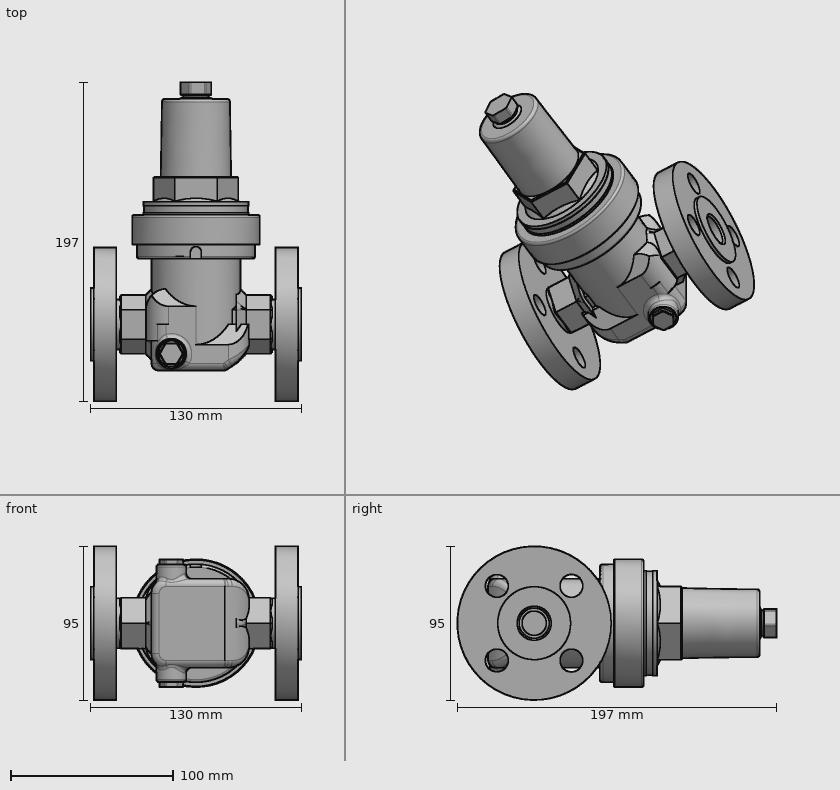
import cadquery as cq
import math


COS_30 = math.cos(math.radians(30))

overall_length = 130.0
flange_diameter = 95.0
flange_thickness = 14.0
raised_face_diameter = 45.0
raised_face_height = 2.0
bolt_circle_diameter = 65.0
bolt_hole_diameter = 14.0
bolt_hole_count = 4

neck_diameter = 31.0
pipe_hex_flats = 31.5
pipe_hex_outer_x = 47.0
pipe_hex_chamfer = 1.0
flare_end_x = 31.0
flare_growth = 6.0
thread_diameter = 18.64
thread_depth = 15.0
thread_countersink = 1.2
bore_diameter = 15.0
bore_depth = 40.0

tube_diameter = 55.0
lower_ring_diameter = 73.0
lower_ring_y = 40.4
lower_ring_rounding = 1.8
upper_ring_diameter = 79.0
upper_ring_y = 49.1
upper_ring_top_y = 67.6
upper_ring_rounding = 1.5
upper_ring_chamfer = 0.5
collar_diameter = 65.0
collar_top_y = 75.8
collar_groove_diameter = 64.4
collar_groove_y = 69.0
collar_groove_top_y = 73.2
nut_flats = 45.4
nut_top_y = 91.2
nut_chamfer = 0.8
nut_cone_height = 2.2
nut_cone_top_diameter = nut_flats - 0.4
nut_cone_base_diameter = 53.0
bell_base_diameter = 43.6
bell_top_diameter = 42.0
bell_top_y = 139.2
bell_rounding = 2.0

screw_top_y = overall_length + 19.51
screw_flats = 17.0
screw_head_height = 8.2
screw_corner_radius = 1.2
screw_rotation = -6.0
screw_bottom_chamfer = 0.6
screw_neck_diameter = 15.7
screw_washer_diameter = 20.4
screw_washer_height = 1.0

notch_width = 6.8
notch_top_y = 48.0
notch_floor_z = 34.6

body_half_depth = tube_diameter / 2
body_bottom_y = -28.5
body_rounding = 4.7
block_top_y = 0.0
block_corner_radius = 9.0
lump_taper_rise = 20.0
lump_taper_depth = 14.0
outlet_lump_side_x = 32.8
outlet_lump_corner_radius = 13.0
outlet_lump_flat_top_y = -12.4
outlet_lump_bend_start = (17.9, body_bottom_y)
outlet_lump_bend_middle = (25.3, -23.3)
outlet_lump_bend_end = (outlet_lump_side_x, -13.5)
inlet_lump_side_x = 30.7
inlet_lump_corner_radius = 13.5
inlet_lump_flat_top_y = 11.3
inlet_lump_bottom_y = -10.0
inlet_lump_crest_start = (-13.0, 21.0)
inlet_lump_crest_middle = (-24.0, 20.5)
inlet_lump_crest_end = (-inlet_lump_side_x, 10.0)

boss_x = -15.2
boss_y = -18.0
boss_diameter = 18.5
boss_top_z = 36.0
boss_rounding = 1.3
boss_foot_fillet = 3.2
plug_washer_diameter = 16.5
plug_washer_height = 0.5
plug_flats = 13.0
plug_top_z = upper_ring_diameter / 2
plug_corner_radius = 0.9
plug_top_chamfer = 0.4


def disc(diameter, y_low, y_high):
    """Cylinder about the Y axis."""
    return cq.Workplane("XZ", origin=(0, y_low, 0)).circle(diameter / 2).extrude(y_low - y_high)


def cone(low_diameter, high_diameter, y_low, y_high):
    """Truncated cone about the Y axis."""
    outline = [(0, y_low), (low_diameter / 2, y_low), (high_diameter / 2, y_high), (0, y_high)]
    return cq.Workplane("XY").polyline(outline).close().revolve(360, (0, 0, 0), (0, 1, 0))


def hexagon(plane, flats):
    """Hexagon outline with two corners on the plane's local X axis."""
    return plane.polygon(6, flats / COS_30)


def make_housing():
    tube = disc(tube_diameter, outlet_lump_flat_top_y, upper_ring_y)
    lower_ring = disc(lower_ring_diameter, lower_ring_y, upper_ring_y)
    lower_ring = lower_ring.faces("<Y").edges().fillet(lower_ring_rounding)
    upper_ring = disc(upper_ring_diameter, upper_ring_y, upper_ring_top_y)
    upper_ring = upper_ring.faces(">Y").edges().fillet(upper_ring_rounding)
    upper_ring = upper_ring.faces("<Y").edges().chamfer(upper_ring_chamfer)
    collar = (
        disc(collar_diameter, upper_ring_top_y, collar_groove_y)
        .union(disc(collar_groove_diameter, collar_groove_y, collar_groove_top_y))
        .union(disc(collar_diameter, collar_groove_top_y, collar_top_y))
    )
    bell = cone(bell_base_diameter, bell_top_diameter, nut_top_y, bell_top_y)
    bell = bell.faces(">Y").edges().fillet(bell_rounding)
    housing = tube.union(lower_ring.cut(make_notch())).union(upper_ring).union(collar)
    return housing.union(make_nut()).union(bell).union(make_screw())


def make_notch():
    notch_radius = notch_width / 2
    arch_y = notch_top_y - notch_radius
    return (
        cq.Workplane("XY", origin=(0, 0, notch_floor_z))
        .moveTo(-notch_radius, lower_ring_y)
        .lineTo(-notch_radius, arch_y)
        .threePointArc((0, notch_top_y), (notch_radius, arch_y))
        .lineTo(notch_radius, lower_ring_y)
        .close()
        .extrude(lower_ring_diameter / 2 - notch_floor_z)
    )


def make_nut():
    plane = cq.Workplane("XZ", origin=(0, collar_top_y, 0))
    nut = hexagon(plane, nut_flats).extrude(collar_top_y - nut_top_y)
    nut = nut.faces(">Y").edges().chamfer(nut_chamfer)
    foot = cone(nut_cone_base_diameter, nut_cone_top_diameter, collar_top_y, collar_top_y + nut_cone_height)
    return nut.union(foot)


def make_screw():
    head_y = screw_top_y - screw_head_height
    plane = cq.Workplane("XZ", origin=(0, head_y, 0))
    head = hexagon(plane, screw_flats).extrude(-screw_head_height)
    head = head.edges("|Y").fillet(screw_corner_radius)
    head = head.faces("<Y").edges().chamfer(screw_bottom_chamfer)
    head = head.rotate((0, 0, 0), (0, 1, 0), -screw_rotation)
    washer = cone(
        screw_washer_diameter, screw_neck_diameter, bell_top_y, bell_top_y + screw_washer_height
    )
    return head.union(disc(screw_neck_diameter, bell_top_y, head_y)).union(washer)


def make_inlet_block():
    """Square-shouldered block below the pipe axis, on the inlet side."""
    length = body_half_depth
    block = cq.Workplane("XY").box(
        length, block_top_y - body_bottom_y, 2 * body_half_depth, centered=(False, False, True)
    )
    block = block.translate((-length, body_bottom_y, 0))
    block = block.edges("|Y and <X").fillet(block_corner_radius)
    return block.faces("<Y").edges("not(>X)").fillet(body_rounding)


def lump_plan(side_x, corner_radius):
    """Tall prism along Y from the middle out to side_x, with rounded outer corners."""
    length = abs(side_x)
    height = upper_ring_y - body_bottom_y
    middle = (side_x / 2, body_bottom_y + height / 2, 0)
    prism = cq.Workplane("XY").box(length, height, 2 * body_half_depth).translate(middle)
    outer_edges = "|Y and >X" if side_x > 0 else "|Y and <X"
    return prism.edges(outer_edges).fillet(corner_radius)


def lump_section(y_low, flat_top_y):
    """Prism along X whose two sides lean in toward the tube above flat_top_y."""
    taper_top_y = flat_top_y + lump_taper_rise
    narrow = body_half_depth - lump_taper_depth
    outline = [
        (y_low, -body_half_depth),
        (flat_top_y, -body_half_depth),
        (taper_top_y, -narrow),
        (taper_top_y, narrow),
        (flat_top_y, body_half_depth),
        (y_low, body_half_depth),
    ]
    return cq.Workplane("YZ").polyline(outline).close().extrude(outlet_lump_side_x, both=True)


def make_inlet_lump():
    """Swelling above the pipe axis on the inlet side, with a crest that falls toward both ends."""
    side = (
        cq.Workplane("XY")
        .moveTo(0, inlet_lump_bottom_y)
        .lineTo(0, inlet_lump_flat_top_y)
        .lineTo(*inlet_lump_crest_start)
        .threePointArc(inlet_lump_crest_middle, inlet_lump_crest_end)
        .lineTo(-inlet_lump_side_x, inlet_lump_bottom_y)
        .close()
        .extrude(body_half_depth, both=True)
    )
    section = lump_section(inlet_lump_bottom_y, inlet_lump_flat_top_y)
    return lump_plan(-inlet_lump_side_x, inlet_lump_corner_radius).intersect(side).intersect(section)


def make_outlet_lump():
    """Swelling below the pipe axis on the outlet side, curving up to the outlet hexagon."""
    side = (
        cq.Workplane("XY")
        .moveTo(0, body_bottom_y)
        .lineTo(*outlet_lump_bend_start)
        .threePointArc(outlet_lump_bend_middle, outlet_lump_bend_end)
        .lineTo(outlet_lump_side_x, 0)
        .lineTo(0, 0)
        .close()
        .extrude(body_half_depth, both=True)
    )
    section = lump_section(body_bottom_y, outlet_lump_flat_top_y)
    lump = lump_plan(outlet_lump_side_x, outlet_lump_corner_radius).intersect(side)
    lower_half = cq.selectors.BoxSelector(
        (0, body_bottom_y - body_rounding, -body_half_depth - body_rounding),
        (outlet_lump_side_x, outlet_lump_bend_end[1], body_half_depth + body_rounding),
    )
    lump = lump.edges("not(|Z or |Y)").edges(lower_half).fillet(body_rounding)
    return lump.intersect(section)


def make_gauge_boss():
    """Boss and hexagon plug on the +Z side."""
    plane = cq.Workplane("XY", origin=(boss_x, boss_y, 0))
    boss = plane.circle(boss_diameter / 2).extrude(boss_top_z)
    boss = boss.faces(">Z").edges().fillet(boss_rounding)
    washer_top_z = boss_top_z + plug_washer_height
    washer = plane.workplane(offset=boss_top_z).circle(plug_washer_diameter / 2).extrude(plug_washer_height)
    plug = hexagon(plane.workplane(offset=washer_top_z), plug_flats).extrude(plug_top_z - washer_top_z)
    plug = plug.edges("|Z").fillet(plug_corner_radius)
    plug = plug.faces(">Z").edges().chamfer(plug_top_chamfer)
    return boss.union(washer).union(plug)


def make_block_with_bosses():
    """Inlet block with a filleted gauge boss on each of its Z sides."""
    boss = make_gauge_boss()
    block = make_inlet_block().union(boss).union(boss.mirror("XY"))
    reach = boss_diameter / 2
    for z_low in (-body_half_depth - boss_rounding, body_half_depth - body_rounding / 2):
        foot = cq.selectors.BoxSelector(
            (boss_x - reach, boss_y - reach, z_low),
            (boss_x + reach, boss_y + reach, z_low + body_rounding / 2 + boss_rounding),
        )
        block = block.edges(foot).fillet(boss_foot_fillet)
    return block


def make_pipe_end():
    """Hexagon, neck and flange on the +X side, without the bore."""
    flange_face_x = overall_length / 2 - raised_face_height
    flange_back_x = flange_face_x - flange_thickness
    core = hexagon(cq.Workplane("YZ"), pipe_hex_flats).extrude(pipe_hex_outer_x)
    core = core.faces(">X").edges().chamfer(pipe_hex_chamfer)
    flare_plane = cq.Workplane("YZ", origin=(flare_end_x, 0, 0))
    flare = hexagon(flare_plane, pipe_hex_flats).extrude(-flare_growth, taper=-45)
    neck = cq.Workplane("YZ").circle(neck_diameter / 2).extrude(flange_back_x)
    flange = (
        cq.Workplane("YZ", origin=(flange_back_x, 0, 0))
        .circle(flange_diameter / 2)
        .extrude(flange_thickness)
        .faces(">X")
        .workplane()
        .polarArray(bolt_circle_diameter / 2, 180 / bolt_hole_count, 360, bolt_hole_count)
        .hole(bolt_hole_diameter)
    )
    raised_face = (
        cq.Workplane("YZ", origin=(flange_face_x, 0, 0))
        .circle(raised_face_diameter / 2)
        .extrude(raised_face_height)
    )
    return core.union(flare).union(neck).union(flange).union(raised_face)


def make_bore():
    """Stepped blind bore entering from the +X end."""
    end_plane = cq.Workplane("YZ", origin=(overall_length / 2, 0, 0))
    thread = end_plane.circle(thread_diameter / 2).extrude(-thread_depth)
    bore = end_plane.circle(bore_diameter / 2).extrude(-bore_depth)
    countersink = (
        end_plane.circle(thread_diameter / 2 + thread_countersink)
        .extrude(-thread_countersink, taper=45)
    )
    return thread.union(bore).union(countersink)


def make_body():
    body = make_housing()
    for part in (make_block_with_bosses(), make_inlet_lump(), make_outlet_lump()):
        body = body.union(part)
    return body


def make_valve():
    valve = make_body()
    pipe_end = make_pipe_end()
    bore = make_bore()
    valve = valve.union(pipe_end).union(pipe_end.mirror("YZ"))
    return valve.cut(bore).cut(bore.mirror("YZ"))


result = make_valve()